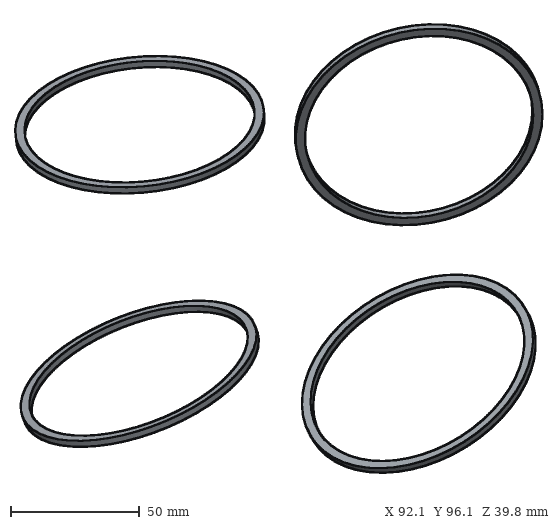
import cadquery as cq

outer_radius = 48.5
radial_width = 3.6
thickness = 2.9

axis_lean = 22.5
axis_heading = 153.5

inner_radius = outer_radius - radial_width

flat_ring = (
    cq.Workplane("XY", origin=(0, 0, -thickness / 2))
    .circle(outer_radius)
    .circle(inner_radius)
    .extrude(thickness)
)

result = (
    flat_ring
    .rotate((0, 0, 0), (0, 1, 0), axis_lean)
    .rotate((0, 0, 0), (0, 0, 1), axis_heading)
)